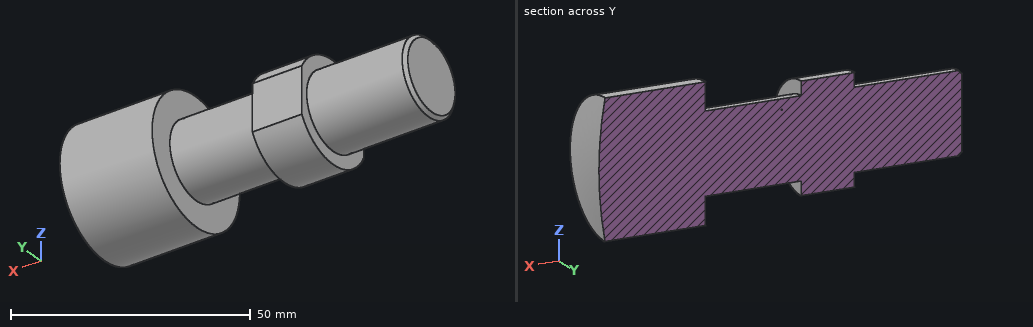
import cadquery as cq

total_length = 85.55
collar_start = 25.3
collar_length = 12.7
head_start = 60.4
crown_height = 1.45

shank_diameter = 18.9
tip_chamfer = 0.85
collar_diameter = 25.3
collar_across_flats = 22.4
head_diameter = 31.7


def cylinder_along_x(start, length, diameter):
    return cq.Workplane("YZ", origin=(start, 0, 0)).circle(diameter / 2).extrude(length)


def shank():
    return cylinder_along_x(0, head_start, shank_diameter).faces("<X").chamfer(tip_chamfer)


def collar():
    blank = cylinder_along_x(collar_start, collar_length, collar_diameter)
    flats = cq.Workplane("YZ", origin=(collar_start, 0, 0)).rect(
        collar_across_flats, collar_diameter
    ).extrude(collar_length)
    return blank.intersect(flats)


def head():
    radius = head_diameter / 2
    rim = total_length - crown_height
    sphere_radius = (radius**2 + crown_height**2) / (2 * crown_height)
    mid_radius = radius / 2
    mid_x = total_length - sphere_radius + (sphere_radius**2 - mid_radius**2) ** 0.5
    return (
        cq.Workplane("XY")
        .moveTo(head_start, 0)
        .lineTo(head_start, radius)
        .lineTo(rim, radius)
        .threePointArc((mid_x, mid_radius), (total_length, 0))
        .close()
        .revolve(360, (0, 0, 0), (1, 0, 0))
    )


result = shank().union(collar()).union(head())